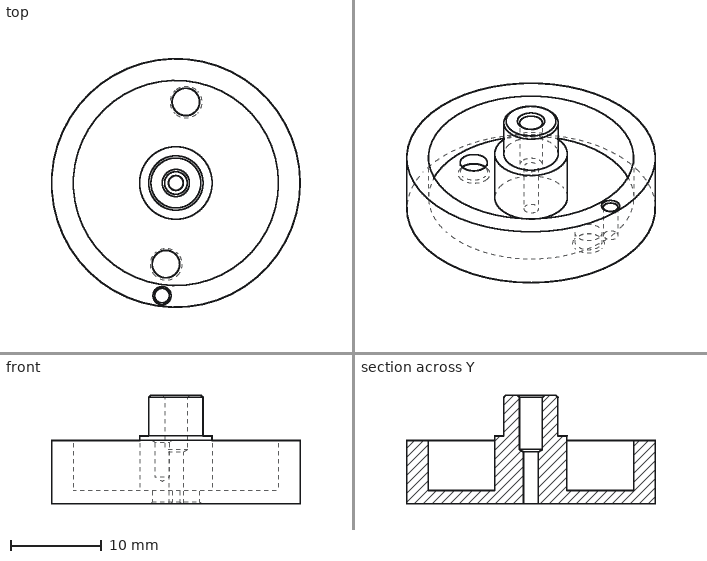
import cadquery as cq
import math

body_diameter = 27.4
body_height = 7.0
cavity_diameter = 22.6
floor_thickness = 1.5

collar_diameter = 8.0
collar_top = 7.5
spigot_diameter = 6.0
spigot_top = 12.0
spigot_chamfer = 0.25

bore_diameter = 2.5
bore_mouth_diameter = 3.0
bore_depth = 6.0
through_bore_diameter = 1.6

hole_line_angle = 83.0
floor_hole_diameter = 3.0
floor_hole_radius = 9.0
floor_hole_chamfer = 0.25
rim_hole_diameter = 1.6
rim_hole_mouth_diameter = 2.0
rim_hole_radius = 12.5
rim_hole_depth = 4.0

drill_point_angle = 118.0


def cylinder(diameter, bottom, top):
    """Upright cylinder on the Z axis between two heights."""
    return cq.Workplane("XY").workplane(offset=bottom).circle(diameter / 2).extrude(top - bottom)


def drill_cutter(diameter, mouth_diameter, top, depth):
    """Drilled hole with a 45 degree mouth chamfer and a conical bottom; depth is to the full diameter."""
    radius = diameter / 2
    mouth_radius = mouth_diameter / 2
    mouth_chamfer = mouth_radius - radius
    shoulder = top - depth
    tip = shoulder - radius / math.tan(math.radians(drill_point_angle / 2))
    profile = (
        cq.Workplane("XZ")
        .moveTo(0, top)
        .lineTo(mouth_radius, top)
        .lineTo(radius, top - mouth_chamfer)
        .lineTo(radius, shoulder)
        .lineTo(0, tip)
        .close()
    )
    return profile.revolve(360, (0, 0, 0), (0, 1, 0))


def point_on_hole_line(distance):
    """Position on the hole line at a signed distance from the axis."""
    angle = math.radians(hole_line_angle)
    return (distance * math.cos(angle), distance * math.sin(angle), 0)


def make_cup():
    cavity = cylinder(cavity_diameter, floor_thickness, body_height)
    return cylinder(body_diameter, 0, body_height).cut(cavity)


def make_post():
    collar = cylinder(collar_diameter, 0, collar_top)
    spigot = cylinder(spigot_diameter, collar_top, spigot_top)
    return collar.union(spigot.faces(">Z").chamfer(spigot_chamfer))


def cut_center_bore(part):
    wide_bore = drill_cutter(bore_diameter, bore_mouth_diameter, spigot_top, bore_depth)
    narrow_bore = cylinder(through_bore_diameter, 0, spigot_top)
    return part.cut(wide_bore).cut(narrow_bore)


def cut_floor_holes(part):
    """Two through holes, each chamfered where it leaves the underside."""
    mouth_diameter = floor_hole_diameter + 2 * floor_hole_chamfer
    mouth = (
        cq.Workplane("XY")
        .circle(mouth_diameter / 2)
        .workplane(offset=floor_hole_chamfer)
        .circle(floor_hole_diameter / 2)
        .loft()
    )
    hole = cylinder(floor_hole_diameter, 0, floor_thickness).union(mouth)
    for side in (1, -1):
        part = part.cut(hole.translate(point_on_hole_line(side * floor_hole_radius)))
    return part


def cut_rim_hole(part):
    hole = drill_cutter(rim_hole_diameter, rim_hole_mouth_diameter, body_height, rim_hole_depth)
    return part.cut(hole.translate(point_on_hole_line(-rim_hole_radius)))


result = make_cup().union(make_post())
result = cut_center_bore(result)
result = cut_floor_holes(result)
result = cut_rim_hole(result)